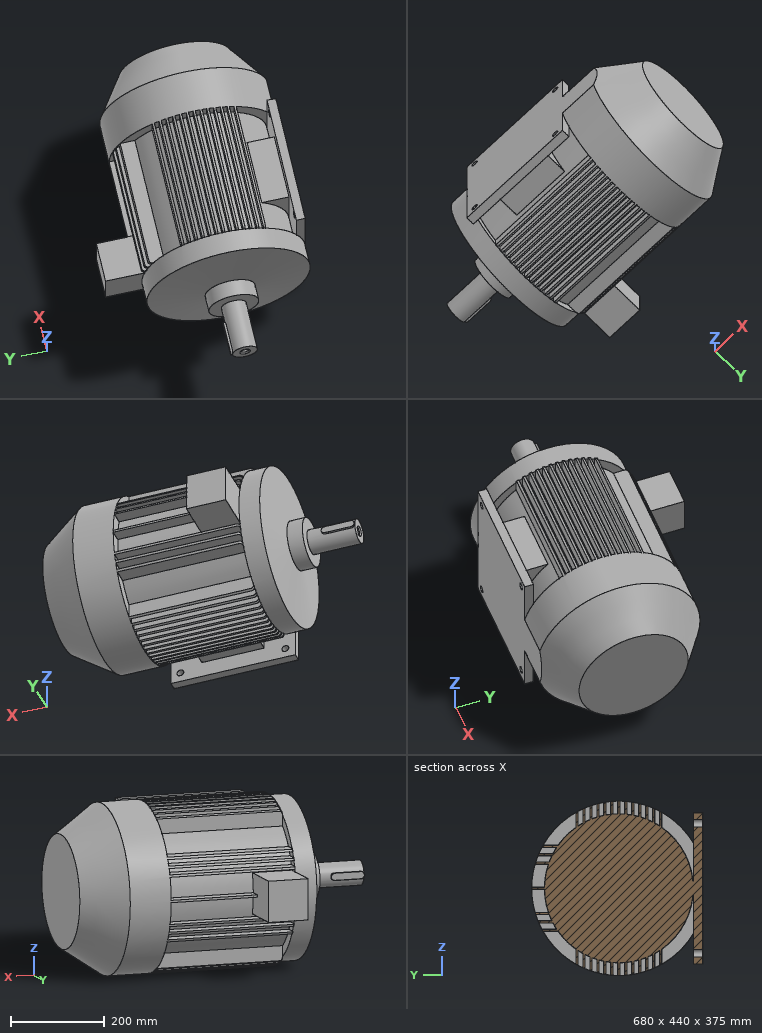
import cadquery as cq

SHAFT_LENGTH = 110.0
COLLAR_LENGTH = 35.5
SHIELD_CONE_LENGTH = 15.0
SHIELD_RIM_LENGTH = 47.5
FRAME_LENGTH = 286.0
COWL_LENGTH = 93.0
TOTAL_LENGTH = 680.0

collar_end = SHAFT_LENGTH + COLLAR_LENGTH
rim_start = collar_end + SHIELD_CONE_LENGTH
frame_start = rim_start + SHIELD_RIM_LENGTH
frame_end = frame_start + FRAME_LENGTH
cowl_end = frame_end + COWL_LENGTH

SHAFT_RADIUS = 55.0 / 2
COLLAR_RADIUS = 110.0 / 2
SHAFT_HEIGHT = 180.0
CORE_RADIUS = 160.0
HOUSING_RADIUS = 375.0 / 2
COWL_TAIL_RADIUS = 125.0

KEY_WIDTH = 16.0
KEY_LENGTH = 76.0
KEY_TOP = 31.5

CENTRE_MOUTH_RADIUS = 11.5
CENTRE_BORE_RADIUS = 8.5
CENTRE_BORE_DEPTH = 42.0
CENTRE_TIP_LENGTH = 5.0

FIN_THICKNESS = 5.0
FIN_FRONT_RADIUS = 6.0
OUTERMOST_FIN = 90.0
Z_FIN_COUNT = 13
Y_FINS_BESIDE_BOX = 3
Y_FIN_PITCH = 18.0

BOX_LENGTH = 90.0
BOX_WIDTH = 90.0
BOX_TOP = 260.0

PLATE_THICKNESS = 20.0
PLATE_WIDTH = 325.0
PEDESTAL_LENGTH = 143.0
PEDESTAL_WIDTH = 250.0
PEDESTAL_TOP = -100.0
BOLT_SPACING_X = 241.0
BOLT_SPACING_Z = 279.0
BOLT_HOLE_DIAMETER = 15.0
SHOULDER_TO_BOLT = 121.0

plate_bottom = -SHAFT_HEIGHT
plate_top = plate_bottom + PLATE_THICKNESS
frame_middle = (frame_start + frame_end) / 2


def box_between(x_range, y_range, z_range):
    """Axis-aligned block given by its limits along X, Y and Z."""
    size = [high - low for low, high in (x_range, y_range, z_range)]
    corner = (x_range[0], y_range[0], z_range[0])
    return cq.Workplane("XY").box(*size, centered=False).translate(corner)


def revolve_about_shaft(profile):
    """Turn a closed (x, radius) profile around the shaft axis."""
    return cq.Workplane("XY").polyline(profile).close().revolve(360, (0, 0, 0), (1, 0, 0))


def make_turned_body():
    """Shaft, collar, end shield, bare frame core and fan cowl."""
    body = revolve_about_shaft([
        (0, 0),
        (0, SHAFT_RADIUS),
        (SHAFT_LENGTH, SHAFT_RADIUS),
        (SHAFT_LENGTH, COLLAR_RADIUS),
        (collar_end, COLLAR_RADIUS),
        (rim_start, SHAFT_HEIGHT),
        (frame_start, SHAFT_HEIGHT),
        (frame_start, CORE_RADIUS),
        (frame_end, CORE_RADIUS),
        (frame_end, HOUSING_RADIUS),
        (cowl_end, HOUSING_RADIUS),
        (TOTAL_LENGTH, COWL_TAIL_RADIUS),
        (TOTAL_LENGTH, 0),
    ])
    below_foot = box_between(
        (frame_end, TOTAL_LENGTH),
        (-HOUSING_RADIUS, plate_bottom),
        (-HOUSING_RADIUS, HOUSING_RADIUS),
    )
    return body.cut(below_foot)


def fin_thickness_range(centre):
    """Limits of a fin across its thickness."""
    return (centre - FIN_THICKNESS / 2, centre + FIN_THICKNESS / 2)


def make_fins():
    """Parallel fins along +Z and -Z, and fewer along +Y, with rounded front ends."""
    frame = (frame_start, frame_end)
    outer = HOUSING_RADIUS
    slabs = cq.Workplane("XY")
    z_fin_pitch = 2 * OUTERMOST_FIN / (Z_FIN_COUNT - 1)
    for index in range(Z_FIN_COUNT):
        y_range = fin_thickness_range(index * z_fin_pitch - OUTERMOST_FIN)
        slabs = slabs.add(box_between(frame, y_range, (-outer, outer)))
    slabs = slabs.add(box_between(frame, (0, outer), fin_thickness_range(0)))
    for index in range(Y_FINS_BESIDE_BOX):
        offset = OUTERMOST_FIN - index * Y_FIN_PITCH
        for centre in (-offset, offset):
            slabs = slabs.add(box_between(frame, (0, outer), fin_thickness_range(centre)))
    envelope = (
        cq.Workplane("XY")
        .moveTo(frame_start, 0)
        .lineTo(frame_start, outer - FIN_FRONT_RADIUS)
        .radiusArc((frame_start + FIN_FRONT_RADIUS, outer), FIN_FRONT_RADIUS)
        .lineTo(frame_end, outer)
        .lineTo(frame_end, 0)
        .close()
        .revolve(360, (0, 0, 0), (1, 0, 0))
    )
    return envelope.intersect(slabs.combine())


def make_key():
    """Round-ended key standing out of the shaft towards +Y."""
    return (
        cq.Workplane("XZ")
        .center(KEY_LENGTH / 2, 0)
        .slot2D(KEY_LENGTH, KEY_WIDTH)
        .extrude(-KEY_TOP)
    )


def make_terminal_box():
    """Terminal box at the front of the frame, standing out towards +Y."""
    return box_between(
        (frame_start, frame_start + BOX_LENGTH),
        (0, BOX_TOP),
        (-BOX_WIDTH / 2, BOX_WIDTH / 2),
    )


def make_foot():
    """Base plate with four bolt holes, on a pedestal under the frame."""
    bolt_middle = SHAFT_LENGTH + SHOULDER_TO_BOLT + BOLT_SPACING_X / 2
    plate = box_between(
        (frame_start, frame_end),
        (plate_bottom, plate_top),
        (-PLATE_WIDTH / 2, PLATE_WIDTH / 2),
    )
    bolt_holes = (
        cq.Workplane("XZ", origin=(bolt_middle, plate_top, 0))
        .rect(BOLT_SPACING_X, BOLT_SPACING_Z, forConstruction=True)
        .vertices()
        .circle(BOLT_HOLE_DIAMETER / 2)
        .extrude(PLATE_THICKNESS)
    )
    pedestal = box_between(
        (frame_middle - PEDESTAL_LENGTH / 2, frame_middle + PEDESTAL_LENGTH / 2),
        (plate_top, PEDESTAL_TOP),
        (-PEDESTAL_WIDTH / 2, PEDESTAL_WIDTH / 2),
    )
    return plate.cut(bolt_holes).union(pedestal)


def make_centre_hole():
    """Countersunk blind hole with a conical bottom in the shaft end."""
    return revolve_about_shaft([
        (0, 0),
        (0, CENTRE_MOUTH_RADIUS),
        (CENTRE_MOUTH_RADIUS - CENTRE_BORE_RADIUS, CENTRE_BORE_RADIUS),
        (CENTRE_BORE_DEPTH, CENTRE_BORE_RADIUS),
        (CENTRE_BORE_DEPTH + CENTRE_TIP_LENGTH, 0),
    ])


motor = make_turned_body()
motor = motor.union(make_fins())
motor = motor.union(make_key())
motor = motor.union(make_terminal_box())
motor = motor.union(make_foot())
result = motor.cut(make_centre_hole())